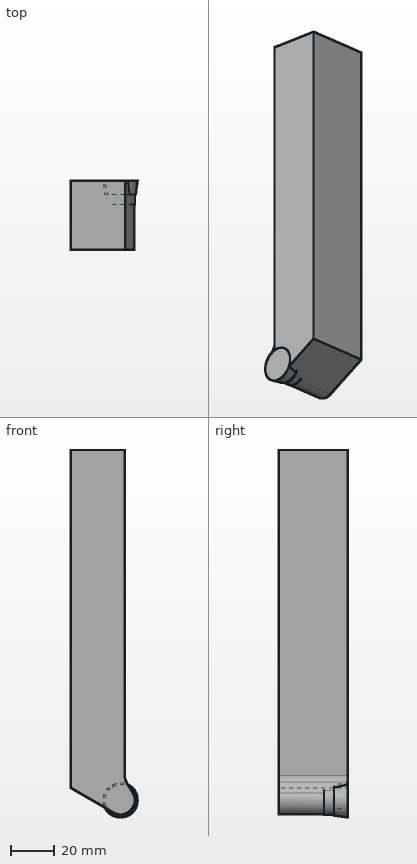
import cadquery as cq
import math

shank_width = 25.0
shank_depth = 32.0
overall_height = 170.0

insert_radius = 8.0
insert_thickness = 6.35
relief_angle = 7.0
insert_overhang = 6.0
insert_base_radius = insert_radius - insert_thickness * math.tan(math.radians(relief_angle))
nose_x = shank_width + insert_overhang - insert_radius
nose_z = insert_radius

nose_radius = 6.6
flank_angle = 30.0
neck_fillet_radius = 6.0

seat_radius = 6.75
seat_thickness = 4.76

back_y = shank_depth / 2
seat_y = back_y - insert_thickness

flank_sin = math.sin(math.radians(flank_angle))
flank_cos = math.cos(math.radians(flank_angle))
flank_tan = flank_sin / flank_cos


def disc(base_y, thickness, base_radius, top_radius):
    """Disc or cone frustum on the insert axis, growing from base_y toward +Y."""
    axis_start = cq.Vector(nose_x, base_y, nose_z)
    axis_direction = cq.Vector(0, 1, 0)
    if base_radius == top_radius:
        solid = cq.Solid.makeCylinder(base_radius, thickness, axis_start, axis_direction)
    else:
        solid = cq.Solid.makeCone(base_radius, top_radius, thickness, axis_start, axis_direction)
    return cq.Workplane(obj=solid)


def make_insert():
    return disc(seat_y, insert_thickness, insert_base_radius, insert_radius)


def make_holder():
    lower_tangent = (nose_x - nose_radius * flank_sin, nose_z - nose_radius * flank_cos)
    neck_tangent = (nose_x + nose_radius * flank_cos, nose_z + nose_radius * flank_sin)
    diagonal_offset = nose_radius / math.sqrt(2)
    nose_middle = (nose_x + diagonal_offset, nose_z - diagonal_offset)
    lower_corner_z = lower_tangent[1] + lower_tangent[0] * flank_tan
    neck_corner_z = neck_tangent[1] + (neck_tangent[0] - shank_width) / flank_tan

    body = (
        cq.Workplane("XZ", origin=(0, back_y, 0))
        .moveTo(0, overall_height)
        .lineTo(0, lower_corner_z)
        .lineTo(*lower_tangent)
        .threePointArc(nose_middle, neck_tangent)
        .lineTo(shank_width, neck_corner_z)
        .lineTo(shank_width, overall_height)
        .close()
        .extrude(shank_depth)
    )
    neck_corner = cq.selectors.NearestToPointSelector((shank_width, 0, neck_corner_z))
    body = body.edges("|Y").edges(neck_corner).fillet(neck_fillet_radius)

    seat = disc(seat_y - seat_thickness, seat_thickness, seat_radius, seat_radius)
    return body.union(seat).cut(make_insert())


holder = make_holder()
insert = make_insert()
result = cq.Compound.makeCompound([holder.val(), insert.val()])